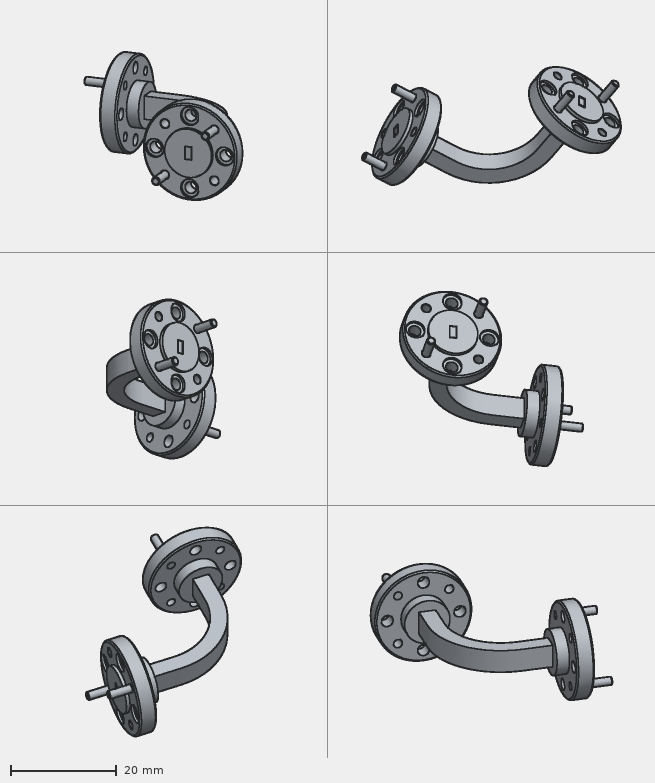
import cadquery as cq


overall_length = 38.8

flange_dia = 19.05
flange_thickness = 3.5
flange_chamfer = 0.3

face_dia = 9.55
face_height = 0.75
hub_dia = 8.92
hub_length = 2.45

pitch_radius = 7.15
screw_hole_dia = 2.3
screw_recess_dia = 3.6
screw_recess_depth = 0.55
screw_angles = (0, 90, 180, 270)

pin_dia = 1.63
pin_chamfer = 0.2
pin_protrusion = 4.6
free_hole_dia = 1.7
mouth_chamfer = 0.08
mouth_angle = 45
pin_angles = (45, 225)
free_hole_angles = (135, 315)

duct_width = 3.3
duct_height = 4.58
aperture_width = 1.28
aperture_height = 2.52
aperture_depth = 0.2
bend_radius = 12.7

axis_to_pin_tip = overall_length - flange_dia / 2
seat_distance = axis_to_pin_tip - pin_protrusion

port_turns = (0, -90)


def turn_to_port(body, turn):
    return body.rotate((0, 0, 0), (0, 0, 1), turn)


def seat_plane():
    """Outer flange surface of the -Y port, normal pointing outward."""
    return cq.Workplane("XZ", origin=(0, -seat_distance, 0))


def drills(angles, diameter, depth):
    """Cylinders on the pitch circle that reach into the flange from its outer surface."""
    return (
        seat_plane()
        .polarArray(pitch_radius, angles[0], 360, len(angles))
        .circle(diameter / 2)
        .extrude(-depth)
    )


def countersinks(angles, hole_dia):
    """Cones that break the outer edge of the dowel holes."""
    return (
        seat_plane()
        .polarArray(pitch_radius, angles[0], 360, len(angles))
        .circle(hole_dia / 2 + mouth_chamfer)
        .extrude(-mouth_chamfer, taper=mouth_angle)
    )


def make_flange():
    flange = (
        seat_plane()
        .circle(flange_dia / 2)
        .extrude(-flange_thickness)
        .edges()
        .chamfer(flange_chamfer)
    )
    contact_face = seat_plane().circle(face_dia / 2).extrude(face_height)
    hub = (
        seat_plane()
        .workplane(offset=-flange_thickness)
        .circle(hub_dia / 2)
        .extrude(-hub_length)
    )
    aperture = (
        seat_plane()
        .workplane(offset=face_height)
        .rect(aperture_width, aperture_height)
        .extrude(-aperture_depth)
    )
    flange = flange.union(contact_face).union(hub)
    cutters = (
        drills(screw_angles, screw_hole_dia, flange_thickness),
        drills(screw_angles, screw_recess_dia, screw_recess_depth),
        drills(pin_angles, pin_dia, flange_thickness),
        countersinks(pin_angles, pin_dia),
        drills(free_hole_angles, free_hole_dia, flange_thickness),
        countersinks(free_hole_angles, free_hole_dia),
        aperture,
    )
    for cutter in cutters:
        flange = flange.cut(cutter)
    return flange


def make_duct():
    """Rectangular bar that follows the port axes from one flange to the other."""
    path = (
        cq.Workplane("XY")
        .moveTo(0, -seat_distance)
        .lineTo(0, -bend_radius)
        .tangentArcPoint((-bend_radius, 0), relative=False)
        .lineTo(-seat_distance, 0)
    )
    return seat_plane().rect(duct_width, duct_height).sweep(path)


def make_waveguide():
    waveguide = make_duct()
    for turn in port_turns:
        waveguide = waveguide.union(turn_to_port(make_flange(), turn))
    return waveguide


def make_pin(angle):
    """Dowel pin from the back of the flange to its chamfered outer tip."""
    return (
        seat_plane()
        .workplane(offset=-flange_thickness)
        .polarArray(pitch_radius, angle, 360, 1)
        .circle(pin_dia / 2)
        .extrude(flange_thickness + pin_protrusion)
        .faces("<Y")
        .chamfer(pin_chamfer)
    )


waveguide = make_waveguide()
pins = [turn_to_port(make_pin(angle), turn) for turn in port_turns for angle in pin_angles]

result = cq.Compound.makeCompound([waveguide.solids().val(), *[pin.val() for pin in pins]])